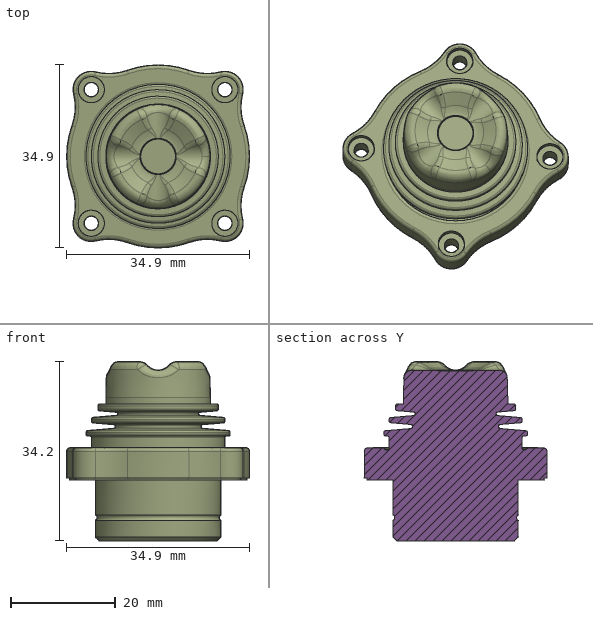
import cadquery as cq
import math

height = 34.25

barrel_radius = 11.99
barrel_chamfer = 0.8
ring_groove_bottom = 3.98
ring_groove_width = 1.05
ring_groove_depth = 0.3

flange_half_width = 17.45
flange_bottom = 11.65
flange_top = 17.85
flange_foot_height = 0.4
flange_foot_inset = 0.52
flange_fillet = 0.7
bolt_offset = 12.75
corner_radius = 3.5
bulge_radius = 17.45
hollow_radius = 10.47
bolt_hole_diameter = 2.7
counterbore_diameter = 5.0
counterbore_depth = 1.5

neck_radius = 12.75
moat_rim_radius = 14.07
moat_floor_radius = 13.4
moat_depth = 0.35
neck_foot_fillet = 0.28

disc_fillet = 0.4
low_disc_radius, low_disc_bottom, low_disc_top = 13.75, 20.05, 21.12
mid_disc_radius, mid_disc_bottom, mid_disc_top = 12.75, 22.55, 23.65
top_disc_radius, top_disc_bottom, top_disc_top = 11.503, 24.85, 26.2
low_waist_radius = 16.5 / 2
top_waist_radius = 15.5 / 2
waist_rise = 1.1
waist_run = 12.7
waist_slope = waist_rise / waist_run
waist_fillet = 0.17
neck_head_fillet = 0.25

knob_radius = 20.0 / 2
knob_taper_start = 27.45
knob_shoulder = 32.75
knob_shoulder_radius = 9.85
rim_fillet = 1.5
bowl_angle = math.radians(24)
bowl_bend_radius = 5.35
button_rim_radius = 3.45
button_radius = 3.3
bowl_bottom = 32.68
slot_floor = 32.65
button_top = 32.5
slot_radius = 2.8
slot_fillet = 1.75


def make_barrel():
    groove_middle = ring_groove_bottom + ring_groove_width / 2
    return (
        cq.Workplane("XZ")
        .moveTo(0, 0)
        .lineTo(barrel_radius - barrel_chamfer, 0)
        .lineTo(barrel_radius, barrel_chamfer)
        .lineTo(barrel_radius, ring_groove_bottom)
        .threePointArc(
            (barrel_radius - ring_groove_depth, groove_middle),
            (barrel_radius, ring_groove_bottom + ring_groove_width),
        )
        .lineTo(barrel_radius, flange_top - moat_depth)
        .lineTo(0, flange_top - moat_depth)
        .close()
        .revolve(360, (0, 0, 0), (0, 1, 0))
    )


def point_between(start, end, distance):
    """Point at the given distance from start on the way to end."""
    share = distance / math.dist(start, end)
    return tuple(a + share * (b - a) for a, b in zip(start, end))


def flange_outline():
    """Bulged sides run through hollow arcs into round corners, all tangent."""
    bulge_center = (0, flange_half_width - bulge_radius)
    corner_center = (bolt_offset, bolt_offset)
    to_bulge = bulge_radius + hollow_radius
    to_corner = corner_radius + hollow_radius
    span = math.dist(bulge_center, corner_center)
    along = (to_bulge**2 - to_corner**2 + span**2) / (2 * span)
    across = math.sqrt(to_bulge**2 - along**2)
    ux = (corner_center[0] - bulge_center[0]) / span
    uy = (corner_center[1] - bulge_center[1]) / span
    hollow_center = (
        bulge_center[0] + along * ux - across * uy,
        bulge_center[1] + along * uy + across * ux,
    )
    bulge_end = point_between(bulge_center, hollow_center, bulge_radius)
    corner_start = point_between(corner_center, hollow_center, corner_radius)
    chord_middle = tuple((a + b) / 2 for a, b in zip(bulge_end, corner_start))
    hollow_middle = point_between(hollow_center, chord_middle, hollow_radius)
    corner_middle = (bolt_offset + corner_radius * math.sqrt(0.5),) * 2

    def turned(point, quarter):
        x, y = point
        for _ in range(quarter):
            x, y = y, -x
        return x, y

    def mirrored(point):
        return point[1], point[0]

    outline = cq.Workplane("XY", origin=(0, 0, flange_bottom)).moveTo(-bulge_end[0], bulge_end[1])
    arcs = [
        ((0, flange_half_width), bulge_end),
        (hollow_middle, corner_start),
        (corner_middle, mirrored(corner_start)),
        (mirrored(hollow_middle), mirrored(bulge_end)),
    ]
    for quarter in range(4):
        for middle, end in arcs:
            outline = outline.threePointArc(turned(middle, quarter), turned(end, quarter))
    return outline.close()


def make_flange():
    thickness = flange_top - flange_bottom
    foot = flange_outline().offset2D(-flange_foot_inset).extrude(flange_foot_height)
    plate = (
        flange_outline()
        .extrude(thickness - flange_foot_height)
        .translate((0, 0, flange_foot_height))
        .faces(">Z")
        .edges()
        .fillet(flange_fillet)
    )
    moat_floor = flange_top - moat_depth
    wall_width = moat_rim_radius - moat_floor_radius
    wall_radius = (wall_width**2 + moat_depth**2) / (2 * moat_depth)
    moat = (
        cq.Workplane("XZ")
        .moveTo(0, moat_floor)
        .lineTo(moat_floor_radius, moat_floor)
        .radiusArc((moat_rim_radius, flange_top), wall_radius)
        .lineTo(0, flange_top)
        .close()
        .revolve(360, (0, 0, 0), (0, 1, 0))
    )
    return (
        plate.union(foot)
        .cut(moat)
        .faces(">Z")
        .workplane(origin=(0, 0, flange_top))
        .rect(2 * bolt_offset, 2 * bolt_offset, forConstruction=True)
        .vertices()
        .cboreHole(bolt_hole_diameter, counterbore_diameter, counterbore_depth)
    )


def make_disc(radius, bottom, top):
    return cq.Workplane("XY", origin=(0, 0, bottom)).circle(radius).extrude(top - bottom).edges().fillet(disc_fillet)


def make_waist(radius, lower_disc, upper_disc):
    """Core between two discs, widening into both of them along shallow cones."""
    lower_rim, _, lower_top = lower_disc
    upper_rim, upper_bottom, _ = upper_disc
    lower_rim -= disc_fillet
    upper_rim -= disc_fillet
    return (
        cq.Workplane("XZ")
        .moveTo(0, lower_top - disc_fillet)
        .lineTo(lower_rim, lower_top - disc_fillet)
        .lineTo(lower_rim, lower_top)
        .lineTo(radius, lower_top + (lower_rim - radius) * waist_slope)
        .lineTo(radius, upper_bottom - (upper_rim - radius) * waist_slope)
        .lineTo(upper_rim, upper_bottom)
        .lineTo(upper_rim, upper_bottom + disc_fillet)
        .lineTo(0, upper_bottom + disc_fillet)
        .close()
        .revolve(360, (0, 0, 0), (0, 1, 0))
        .edges(cq.selectors.RadiusNthSelector(0))
        .fillet(waist_fillet)
    )


def make_bellows():
    low_disc = (low_disc_radius, low_disc_bottom, low_disc_top)
    mid_disc = (mid_disc_radius, mid_disc_bottom, mid_disc_top)
    top_disc = (top_disc_radius, top_disc_bottom, top_disc_top)
    moat_floor = flange_top - moat_depth
    neck = (
        cq.Workplane("XZ")
        .moveTo(0, moat_floor)
        .lineTo(neck_radius + neck_foot_fillet, moat_floor)
        .radiusArc((neck_radius, moat_floor + neck_foot_fillet), neck_foot_fillet)
        .lineTo(neck_radius, low_disc_bottom - neck_head_fillet)
        .radiusArc((neck_radius + neck_head_fillet, low_disc_bottom), neck_head_fillet)
        .lineTo(0, low_disc_bottom)
        .close()
        .revolve(360, (0, 0, 0), (0, 1, 0))
    )
    bellows = neck
    for disc in (low_disc, mid_disc, top_disc):
        bellows = bellows.union(make_disc(*disc))
    bellows = bellows.union(make_waist(low_waist_radius, low_disc, mid_disc))
    return bellows.union(make_waist(top_waist_radius, mid_disc, top_disc))


def make_knob_body():
    """Tapered knob with a dished top; its sharp outer rim is rounded down to the full height later."""
    taper = (knob_radius - knob_shoulder_radius) / (knob_shoulder - knob_taper_start)
    tangent_radius = knob_shoulder_radius - rim_fillet * (1 + math.sin(bowl_angle))
    tangent_z = height - rim_fillet * (1 - math.cos(bowl_angle))
    rise = math.tan(bowl_angle)
    bend_z = tangent_z - (tangent_radius - bowl_bend_radius) * rise
    drop_to_shoulder = tangent_z - knob_shoulder - tangent_radius * rise
    sharp_radius = (knob_shoulder_radius - taper * drop_to_shoulder) / (1 + taper * rise)
    sharp_z = tangent_z + (sharp_radius - tangent_radius) * rise
    return (
        cq.Workplane("XZ")
        .moveTo(0, top_disc_bottom + disc_fillet)
        .lineTo(knob_radius, top_disc_bottom + disc_fillet)
        .lineTo(knob_radius, knob_taper_start)
        .lineTo(sharp_radius, sharp_z)
        .lineTo(bowl_bend_radius, bend_z)
        .tangentArcPoint((button_rim_radius, bowl_bottom), relative=False)
        .lineTo(button_radius, button_top)
        .lineTo(0, button_top)
        .close()
        .revolve(360, (0, 0, 0), (0, 1, 0))
    )


def cut_slots(knob):
    """Four round-bottomed slots run level from the button out through the rim."""
    slot = (
        cq.Workplane("YZ")
        .center(0, slot_floor + slot_radius)
        .circle(slot_radius)
        .extrude(knob_radius)
    )
    for quarter in range(4):
        knob = knob.cut(slot.rotate((0, 0, 0), (0, 0, 1), 90 * quarter))
    return knob


def distance_from_axis(edge):
    center = edge.Center()
    return math.hypot(center.x, center.y)


def make_knob():
    knob = cut_slots(make_knob_body())
    bowl_outside = knob_shoulder_radius - rim_fillet

    slot_edges = knob.edges("%BSPLINE").filter(
        lambda edge: button_rim_radius < distance_from_axis(edge) < bowl_outside
    )
    knob = slot_edges.fillet(slot_fillet)

    rim_edges = knob.edges().filter(
        lambda edge: distance_from_axis(edge) > bowl_outside and edge.Center().z > button_top
    )
    return rim_edges.fillet(rim_fillet)


result = make_barrel().union(make_flange()).union(make_bellows()).union(make_knob())